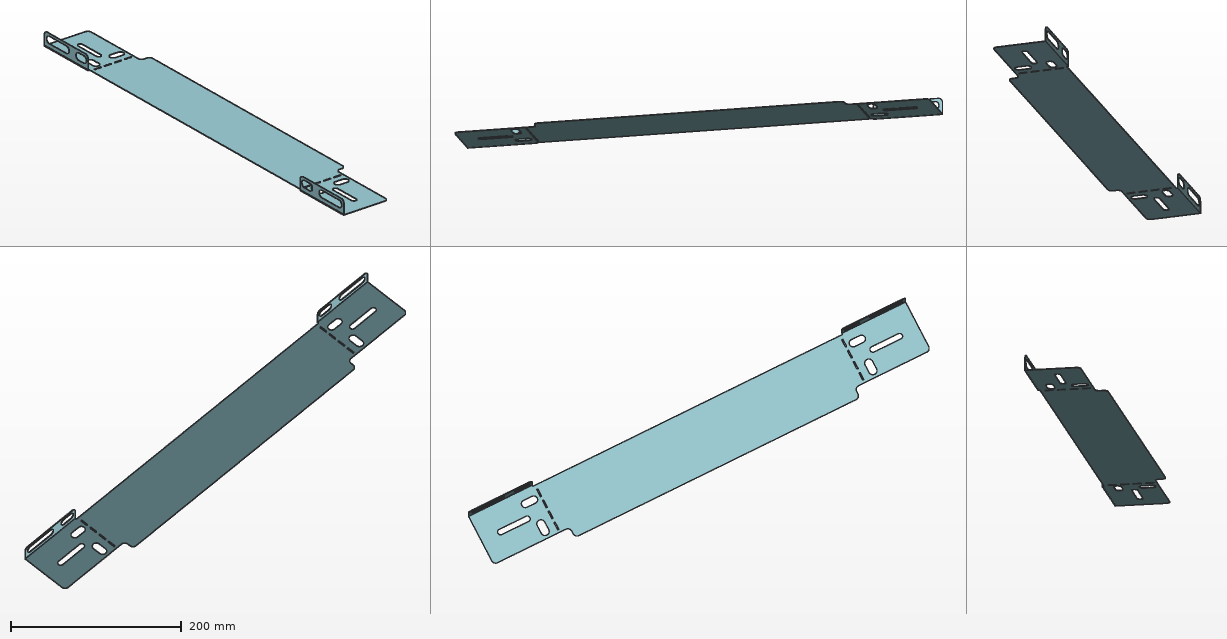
import cadquery as cq

length = 574.0
depth = 80.0
height = 20.0
thickness = 1.0
corner_radius = 5.0

panel_step = 14.0
panel_length = 374.0

flange_length = 84.0
panel_setback = 2.5

adjusting_slot = (42.5, 34.5, 42.0, 7.0)
cross_slot = (72.0, 52.0, 20.0, 10.0)
front_slot = (72.0, 17.0, 20.0, 9.0)
long_flange_slot = (26.0, 11.5, 43.0, 10.0)
short_flange_slot = (70.5, 11.5, 20.0, 10.0)

slit_count = 4
slit_pitch = 15.0
slit_length = 10.0
slit_width = 1.45
slit_from_end = 86.5
slit_row_centre = 35.0

half_length = length / 2
wing_depth = depth - panel_step


def make_sheet():
    """Flat middle panel with a narrower wing on each end; only the edges at the back are rounded."""
    wings = cq.Workplane("XY").box(
        length, wing_depth - panel_setback, thickness, centered=(True, False, False)
    )
    panel = cq.Workplane("XY").box(
        panel_length, depth - panel_setback, thickness, centered=(True, False, False)
    )
    sheet = wings.union(panel).edges("|Z").edges("not <Y").fillet(corner_radius)
    return sheet.translate((0, panel_setback, 0))


def make_flange():
    """L-shaped strip for the left wing: an upright with rounded top corners and a foot to the sheet."""
    upright = (
        cq.Workplane("XY")
        .box(flange_length, thickness, height, centered=False)
        .edges("|Y and >Z")
        .fillet(corner_radius)
    )
    foot = cq.Workplane("XY").box(flange_length, panel_setback, thickness, centered=False)
    return upright.union(foot).translate((-half_length, 0, 0))


def sheet_slot(slot, angle=0):
    """Cutter for a rounded slot through the left wing."""
    from_end, from_front, slot_length, slot_width = slot
    return (
        cq.Workplane("XY")
        .center(from_end - half_length, from_front)
        .slot2D(slot_length, slot_width, angle)
        .extrude(thickness)
    )


def flange_slot(slot):
    """Cutter for a rounded slot through the left flange."""
    from_end, from_bottom, slot_length, slot_width = slot
    return (
        cq.Workplane("XZ")
        .center(from_end - half_length, from_bottom)
        .slot2D(slot_length, slot_width)
        .extrude(-thickness)
    )


def slit_row():
    """Cutter for the row of slits beside the left wing."""
    return (
        cq.Workplane("XY")
        .center(slit_from_end - half_length, slit_row_centre)
        .rarray(6, slit_pitch, 1, slit_count)
        .rect(slit_width, slit_length)
        .extrude(thickness)
    )


left_flange = make_flange()
left_cutters = [
    sheet_slot(adjusting_slot),
    sheet_slot(cross_slot, angle=90),
    sheet_slot(front_slot),
    flange_slot(long_flange_slot),
    flange_slot(short_flange_slot),
    slit_row(),
]

result = make_sheet().union(left_flange).union(left_flange.mirror("YZ"))
for cutter in left_cutters:
    result = result.cut(cutter).cut(cutter.mirror("YZ"))